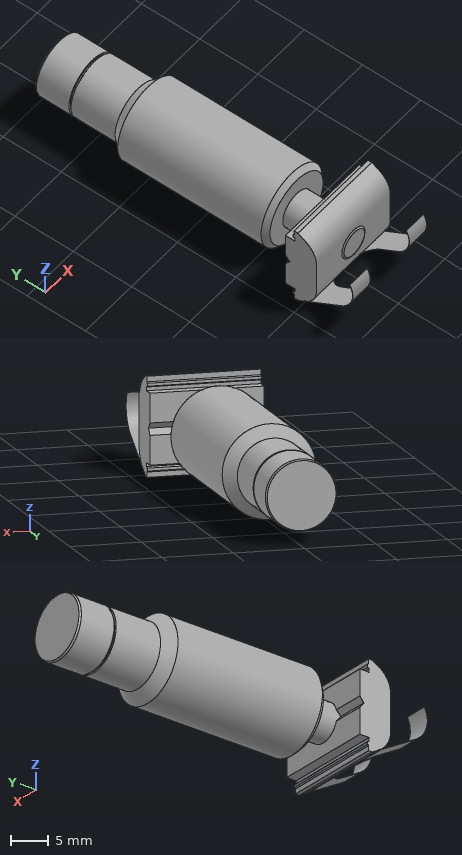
import cadquery as cq
import math


shaft_radius = 6.0 / 2
shaft_gap = 4.45
sleeve_radius = 13.25 / 2
sleeve_front_chamfer = 0.85
sleeve_cone_length = 1.7
tail_start = 31.65
tail_radius = 10.0 / 2
tail_end = 45.45
tail_chamfer_length = 0.3
tail_chamfer_depth = 0.15
groove_start = 39.25
groove_width = 0.35
groove_depth = 0.3
tip_radius = 2.5
tip_chamfer_depth = 0.3
tip_projection = 0.15

nut_length = 16.0
nut_half_height = 14.0 / 2
nut_thickness = 5.3
neck_half_height = 4.95
ear_depth = 1.5
tooth_height = 0.15
tooth_inner = 5.65
tooth_outer = 6.2
relief_depth = 0.1
flank_radius = 4.0
flat_half_height = 2.85
flank_angle = math.radians(30)
notch_half_width = 0.85
notch_depth = 0.7

spring_thickness = 0.05
spring_reach = 11.6
bend_radius = 4.0
bend_end_angle = math.radians(30)
window_width = 8.45
window_corner_radius = 3.4
web_width = 0.45

flank_y = -nut_thickness + flank_radius * (1 - math.sin(flank_angle))
flank_z = flat_half_height + flank_radius * math.cos(flank_angle)
ear_corner_y = flank_y + (nut_half_height - flank_z) / math.tan(flank_angle)


def point_on_circle(center_y, center_z, radius, angle):
    """Point of a circle in the YZ plane; angle 0 points to -Y, positive angles toward +Z."""
    return (center_y - radius * math.cos(angle), center_z + radius * math.sin(angle))


def make_stud():
    tip_end = -nut_thickness - tip_projection
    groove_end = groove_start + groove_width
    outline = [
        (0, tip_end),
        (tip_radius - tip_chamfer_depth, tip_end),
        (tip_radius, -nut_thickness),
        (tip_radius, -ear_depth),
        (shaft_radius, -ear_depth),
        (shaft_radius, shaft_gap),
        (sleeve_radius - sleeve_front_chamfer, shaft_gap),
        (sleeve_radius, shaft_gap + sleeve_front_chamfer),
        (sleeve_radius, tail_start - sleeve_cone_length),
        (tail_radius, tail_start),
        (tail_radius, groove_start),
        (tail_radius - groove_depth, groove_start),
        (tail_radius - groove_depth, groove_end),
        (tail_radius, groove_end),
        (tail_radius, tail_end - tail_chamfer_length),
        (tail_radius - tail_chamfer_depth, tail_end),
        (0, tail_end),
    ]
    return cq.Workplane("XY").polyline(outline).close().revolve(360, (0, 0, 0), (0, 1, 0))


def nut_blank():
    """Solid nut: half of its profile above the axis, extruded and mirrored."""
    arc_middle = point_on_circle(
        flank_radius - nut_thickness, flat_half_height,
        flank_radius, (math.pi / 2 - flank_angle) / 2,
    )
    upper_half = (
        cq.Workplane("YZ")
        .moveTo(-notch_depth, 0)
        .lineTo(0, notch_half_width)
        .lineTo(0, neck_half_height)
        .lineTo(-ear_depth - relief_depth, neck_half_height)
        .lineTo(-ear_depth - relief_depth, tooth_inner - tooth_height)
        .lineTo(-ear_depth + tooth_height, tooth_inner)
        .lineTo(-ear_depth + tooth_height, tooth_outer - tooth_height)
        .lineTo(-ear_depth, tooth_outer)
        .lineTo(-ear_depth, nut_half_height)
        .lineTo(ear_corner_y, nut_half_height)
        .lineTo(flank_y, flank_z)
        .threePointArc(arc_middle, (-nut_thickness, flat_half_height))
        .lineTo(-nut_thickness, 0)
        .close()
        .extrude(nut_length / 2, both=True)
    )
    return upper_half.union(upper_half.mirror("XY")).clean()


def spring_strip():
    """Full-width bent strip whose outer face continues the lower flank of the nut."""
    bend_y = bend_radius - spring_reach
    bend_start_angle = flank_angle - math.pi / 2
    bend_start_y = point_on_circle(bend_y, 0, bend_radius, bend_start_angle)[0]
    bend_start_z = -flank_z + (flank_y - bend_start_y) * math.tan(flank_angle)
    bend_z = bend_start_z + bend_radius * math.cos(flank_angle)
    inner_radius = bend_radius - spring_thickness
    middle_angle = (bend_start_angle + bend_end_angle) / 2

    def bend_point(radius, angle):
        return point_on_circle(bend_y, bend_z, radius, angle)

    inner_corner = (
        flank_y + spring_thickness * math.sin(flank_angle),
        -flank_z + spring_thickness * math.cos(flank_angle),
    )
    return (
        cq.Workplane("YZ")
        .moveTo(flank_y, -flank_z)
        .lineTo(*bend_point(bend_radius, bend_start_angle))
        .threePointArc(bend_point(bend_radius, middle_angle), bend_point(bend_radius, bend_end_angle))
        .lineTo(*bend_point(inner_radius, bend_end_angle))
        .threePointArc(bend_point(inner_radius, middle_angle), bend_point(inner_radius, bend_start_angle))
        .lineTo(*inner_corner)
        .close()
        .extrude(nut_length / 2, both=True)
    )


def spring_window():
    """Cutter for the window, square to the straight part of the strip and open at the bend."""
    length = 2 * spring_reach
    flank_plane = cq.Plane(
        origin=(0, flank_y, -flank_z),
        xDir=(1, 0, 0),
        normal=(0, math.sin(flank_angle), math.cos(flank_angle)),
    )
    return (
        cq.Workplane(flank_plane)
        .center(0, -web_width - length / 2)
        .rect(window_width, length)
        .extrude(spring_reach, both=True)
        .edges(cq.selectors.ParallelDirSelector(flank_plane.zDir))
        .fillet(window_corner_radius)
    )


stud = make_stud()
spring = spring_strip().cut(spring_window())
nut = nut_blank().cut(stud).cut(spring)

result = cq.Compound.makeCompound([*stud.vals(), *nut.solids().vals(), *spring.solids().vals()])